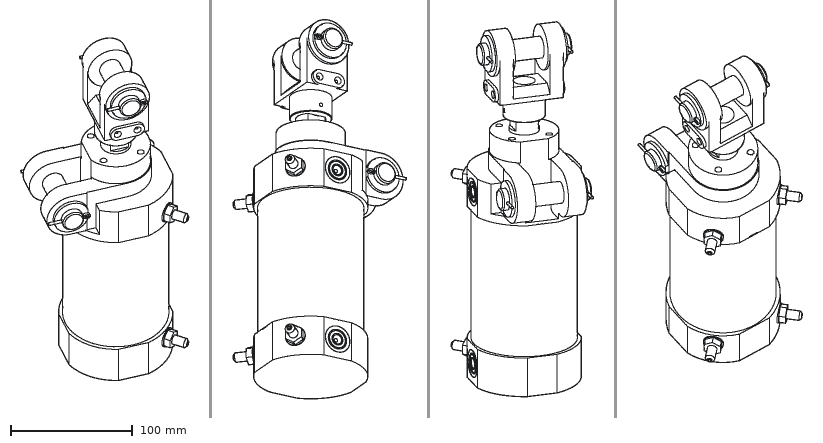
import cadquery as cq
import math


tube_d = 87.5
cap_d = 94.0
cap_side_flat = 45.0
cap_back_flat = 44.5
base_cap_top = 34.0
head_cap_bottom = 150.5
head_cap_top = 184.0

mount_w = 59.0
mount_top = 198.5
mount_eye_d = 40.8
mount_pin_y = -49.7
mount_pad_y = -35.3
notch_y = -27.3
slot_wall_y = -25.8
slot_root_r = 4.5
gland_d = 57.0
gland_top = 217.0
gland_hole_d = 5.5
gland_hole_depth = 6.0
gland_hole_circle_d = 45.7

rod_d = 25.0
rod_flats_w = 19.3
rod_flats_bottom = 219.8
rod_tip_d = 18.0

clevis_top = 307.0
clevis_eye_r = 19.0
clevis_bottom = 248.7
clevis_floor = 260.3
clevis_w = 55.0
clevis_gap = 32.0
floor_chamfer = 7.5
collar_d = 35.0
collar_bottom = 229.5
collar_chamfer = 0.5
set_screw_d = 3.0
set_screw_z = 236.0
side_pad_r = 6.0
side_hole_y = 8.5
side_hole_d = 6.0
side_hole_bottom_d = 2.3
side_hole_depth = 2.5

ear_outer_w = 60.5
ear_gap = 28.5
washer_face_d = 30.0
washer_face_h = 2.8
pin_d = 18.0
pin_len = 77.5
pin_chamfer = 1.2
cotter_d = 2.3
cotter_x = 34.7
cotter_eye_h = 3.7
cotter_eye_w = 2.5
cotter_eye_end = 15.5
cotter_eye_start = 9.5
cotter_eye_slot_h = 1.2

base_port_z = 17.0
head_port_z = 168.0
port_face_d = 23.0
port_ring_d = 17.2
port_ring_inner_d = 15.0
port_step_d = 10.0
port_mouth_d = 8.0
port_bore_d = 3.0
port_step = 0.3
port_cone_depth = 2.5
port_depth = 9.2
nozzle_stagger = 7.5
nozzle_root = 30.7
nozzle_seat_d = 16.5
nozzle_seat_end = 47.5
nozzle_hex_af = 13.5
nozzle_hex_end = 53.0
nozzle_d = 8.0
nozzle_end = 65.7
nozzle_chamfer = 1.8
nozzle_bore_d = 2.3
nozzle_bore_depth = 3.0

mount_eye_r = mount_eye_d / 2
mount_pin_z = mount_top - mount_eye_r
mount_bottom = mount_top - mount_eye_d
slot_floor = mount_bottom - slot_root_r
clevis_pin_z = clevis_top - clevis_eye_r
far = 184.2


def block(x0, x1, y0, y1, z0, z1):
    return cq.Workplane("XY").box(x1 - x0, y1 - y0, z1 - z0, centered=False).translate((x0, y0, z0))


def wide_block(width, y0, y1, z0, z1):
    return block(-width / 2, width / 2, y0, y1, z0, z1)


def disc_z(diameter, z0, z1):
    return cq.Workplane("XY", origin=(0, 0, z0)).circle(diameter / 2).extrude(z1 - z0)


def disc_x(diameter, x0, x1, y, z):
    return cq.Workplane("YZ", origin=(x0, y, z)).circle(diameter / 2).extrude(x1 - x0)


def wide_disc(diameter, width, y, z):
    return disc_x(diameter, -width / 2, width / 2, y, z)


def cone_x(diameter, bottom_diameter, x, depth, y, z):
    """A cone that narrows toward +X, as a countersink for the -X side."""
    mouth = cq.Workplane("YZ", origin=(x, y, z)).circle(diameter / 2)
    return mouth.workplane(offset=depth).circle(bottom_diameter / 2).loft()


def make_cap(z0, z1):
    flats = wide_block(2 * cap_side_flat, -cap_side_flat, cap_back_flat, z0, z1)
    return disc_z(cap_d, z0, z1).intersect(flats)


def make_barrel():
    barrel = disc_z(tube_d, 0, head_cap_top)
    barrel = barrel.union(make_cap(0, base_cap_top)).union(make_cap(head_cap_bottom, head_cap_top))
    notch = wide_block(far, -far, notch_y, mount_bottom, head_cap_top)
    return barrel.cut(notch)


def make_mount():
    mount = disc_z(mount_w, head_cap_bottom, mount_top)
    mount = mount.union(wide_block(mount_w, mount_pin_y, 0, mount_bottom, mount_top))
    pads = wide_disc(mount_eye_d, ear_outer_w, mount_pin_y, mount_pin_z)
    pads = pads.union(wide_block(ear_outer_w, mount_pin_y, mount_pad_y, mount_bottom, mount_top))
    faces = wide_disc(washer_face_d, ear_outer_w + 2 * washer_face_h, mount_pin_y, mount_pin_z)
    front = wide_block(far, -far, mount_pad_y, 0, mount_top)
    return mount.union(pads.union(faces).intersect(front))


def make_gland():
    gland = disc_z(gland_d, head_cap_top, gland_top)
    gland = gland.cut(wide_block(far, -far, slot_wall_y, head_cap_top, gland_top))
    holes = (
        cq.Workplane("XY", origin=(0, 0, gland_top))
        .polarArray(gland_hole_circle_d / 2, 45, 360, 4)
        .circle(gland_hole_d / 2)
        .extrude(-gland_hole_depth)
    )
    return gland.cut(holes)


def make_ear_slot():
    slot = wide_block(ear_gap, -far, slot_wall_y, slot_floor, mount_top)
    return slot.edges("|X and >Y and <Z").fillet(slot_root_r)


def make_rod():
    rod = disc_z(rod_d, gland_top, collar_bottom)
    waist = wide_block(rod_flats_w, -rod_d, rod_d, rod_flats_bottom, collar_bottom)
    root = disc_z(rod_d, gland_top, rod_flats_bottom)
    tip = disc_z(rod_tip_d, collar_bottom, clevis_floor)
    return rod.intersect(waist).union(root).union(tip)


def make_port_cut(z):
    """Shallow stepped rings and a countersunk bore in the -X flat of a cap."""
    face = -cap_side_flat
    floor = face + port_step
    cut = disc_x(port_face_d, face, floor, 0, z)
    ring = disc_x(port_ring_d, floor, floor + port_step, 0, z)
    ring = ring.cut(disc_x(port_ring_inner_d, floor, floor + port_step, 0, z))
    step = disc_x(port_step_d, floor, floor + port_step, 0, z)
    cone = cone_x(port_mouth_d, port_bore_d, floor + port_step, port_cone_depth, 0, z)
    bore = disc_x(port_bore_d, face, face + port_depth, 0, z)
    return cut.union(ring).union(step).union(cone).union(bore)


def make_nozzle(angle, z):
    seat = disc_x(nozzle_seat_d, nozzle_root, nozzle_seat_end, 0, 0)
    hexagon = (
        cq.Workplane("YZ", origin=(nozzle_root, 0, 0))
        .transformed(rotate=(0, 0, 90))
        .polygon(6, nozzle_hex_af / math.cos(math.pi / 6))
        .extrude(nozzle_hex_end - nozzle_root)
    )
    stem = disc_x(nozzle_d, nozzle_root, nozzle_end, 0, 0).faces(">X").chamfer(nozzle_chamfer)
    bore = disc_x(nozzle_bore_d, nozzle_end - nozzle_bore_depth, nozzle_end, 0, 0)
    nozzle = seat.union(hexagon).union(stem).cut(bore)
    return nozzle.rotate((0, 0, 0), (0, 0, 1), angle).translate((0, 0, z))


def make_cylinder():
    cylinder = make_barrel().union(make_mount()).union(make_gland())
    cylinder = cylinder.cut(make_ear_slot())
    cylinder = cylinder.cut(wide_disc(pin_d, far, mount_pin_y, mount_pin_z))
    cylinder = cylinder.union(make_rod())
    for port_z, stagger in ((base_port_z, nozzle_stagger), (head_port_z, -nozzle_stagger)):
        cylinder = cylinder.cut(make_port_cut(port_z))
        cylinder = cylinder.union(make_nozzle(135, port_z))
        cylinder = cylinder.union(make_nozzle(45, port_z + stagger))
    return cylinder


def make_clevis_fork():
    fork = wide_block(clevis_w, -clevis_eye_r, clevis_eye_r, clevis_bottom, clevis_pin_z)
    side_pads = (
        cq.Workplane("YZ", origin=(-ear_outer_w / 2, 0, clevis_bottom + side_pad_r))
        .slot2D(2 * (side_hole_y + side_pad_r), 2 * side_pad_r)
        .extrude(ear_outer_w)
    )
    gap_profile = (
        cq.Workplane("YZ", origin=(-clevis_gap / 2, 0, 0))
        .moveTo(-clevis_eye_r, clevis_top)
        .lineTo(-clevis_eye_r, clevis_floor - floor_chamfer)
        .lineTo(-clevis_eye_r + floor_chamfer, clevis_floor)
        .lineTo(clevis_eye_r - floor_chamfer, clevis_floor)
        .lineTo(clevis_eye_r, clevis_floor - floor_chamfer)
        .lineTo(clevis_eye_r, clevis_top)
        .close()
    )
    return fork.union(side_pads).cut(gap_profile.extrude(clevis_gap))


def make_clevis_eyes():
    eyes = wide_disc(2 * clevis_eye_r, ear_outer_w, 0, clevis_pin_z)
    faces = wide_disc(washer_face_d, ear_outer_w + 2 * washer_face_h, 0, clevis_pin_z)
    gap = wide_block(ear_gap, -clevis_eye_r, clevis_eye_r, clevis_floor, clevis_top)
    return eyes.union(faces).cut(gap)


def make_clevis():
    collar = disc_z(collar_d, collar_bottom, clevis_bottom).faces("<Z").chamfer(collar_chamfer)
    clevis = make_clevis_fork().union(make_clevis_eyes()).union(collar)
    clevis = clevis.cut(wide_disc(pin_d, far, 0, clevis_pin_z))
    clevis = clevis.cut(disc_z(rod_tip_d, collar_bottom, clevis_floor))
    clevis = clevis.cut(disc_x(set_screw_d, -collar_d, 0, 0, set_screw_z))
    for y in (-side_hole_y, side_hole_y):
        side_hole = cone_x(
            side_hole_d, side_hole_bottom_d, -ear_outer_w / 2, side_hole_depth, y, clevis_bottom + side_pad_r
        )
        clevis = clevis.cut(side_hole).cut(side_hole.mirror("YZ"))
    return clevis


def make_pin(y, z):
    pin = wide_disc(pin_d, pin_len, y, z).faces("<X or >X").chamfer(pin_chamfer)
    for x in (-cotter_x, cotter_x):
        cotter_hole = cq.Workplane("XZ", origin=(x, y + pin_d, z)).circle(cotter_d / 2).extrude(2 * pin_d)
        pin = pin.cut(cotter_hole)
    return pin


def make_cotter(x, y, z, tail):
    """A straight wire through the pin, with a flat eye at its +Y end."""
    shank_start = cotter_eye_start + cotter_d / 2
    shank_plane = cq.Workplane("XZ", origin=(x, y + shank_start, z))
    shank = shank_plane.circle(cotter_d / 2).extrude(shank_start + tail)
    eye_len = cotter_eye_end - cotter_eye_start
    eye_wall = (cotter_eye_h - cotter_eye_slot_h) / 2
    eye_plane = cq.Workplane("YZ", origin=(x - cotter_eye_w / 2, y + cotter_eye_end - eye_len / 2, z))
    eye = eye_plane.slot2D(eye_len, cotter_eye_h).extrude(cotter_eye_w)
    opening = eye_plane.slot2D(eye_len - 2 * eye_wall, cotter_eye_slot_h).extrude(cotter_eye_w)
    return shank.union(eye).cut(opening)


cylinder = make_cylinder()
clevis = make_clevis()
pins = []
cotters = []
hinges = (
    (mount_pin_y, mount_pin_z, mount_eye_r),
    (0, clevis_pin_z, clevis_eye_r),
)
for hinge_y, hinge_z, eye_r in hinges:
    pins.append(make_pin(hinge_y, hinge_z).val())
    for cotter_side_x in (-cotter_x, cotter_x):
        cotters.append(make_cotter(cotter_side_x, hinge_y, hinge_z, eye_r).val())

result = cq.Compound.makeCompound([cylinder.val(), clevis.val(), *pins, *cotters])